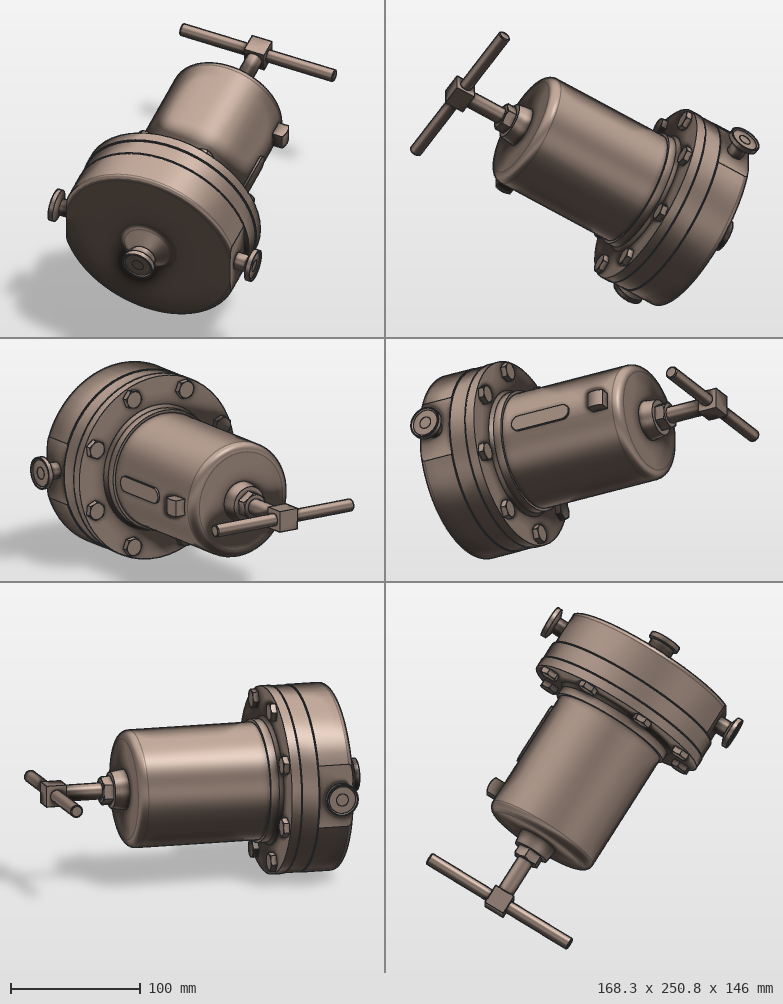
import cadquery as cq
import math


length = 250.8
cover_front = 22.0
cover_back = 49.7
diaphragm_ring_back = 63.7
flange_back = 72.2
collar_front = 75.2
collar_back = 81.8
bonnet_back = 186.0
boss_back = 197.1
nut_back = 205.2

cover_radius = 72.7
ring_radius = 72.5
seam_radius = 72.0
seam_width = 0.8
cover_flat_width = 137.0
cover_fillet = 3.5
flange_radius = 73.0

collar_radius = 48.0
collar_foot_radius = 50.2
bonnet_radius = 45.6
bonnet_fillet = 6.5
boss_base_radius = 15.8
boss_top_radius = 14.0

bolt_count = 8
bolt_circle_radius = 64.2
bolt_corner_radius = 7.5
bolt_head_height = 4.8
hex_chamfer_angle = math.radians(30)

nut_flat_width = 19.0
nut_turn = 5
screw_radius = 6.3
block_size = 16.5
block_depth = 15.8
bar_length = 128.0
bar_radius = 4.8
bar_chamfer = 0.8

dish_lip_radius = 11.8
dish_floor_radius = 10.5
dish_depth = 0.8
bore_radius = 4.8
bore_depth = 0.13

outlet_rim_radius = 12.5
outlet_rim_back = 4.0
outlet_neck_front = 4.8
outlet_neck_radius = 10.0
outlet_neck_back = 11.3
outlet_foot_radius = 23.3
outlet_foot_fillet = 5.8
outlet_cone_angle = math.radians(45)

port_span = 168.3
port_y = 34.9
port_rim_radius = 12.5
port_rim_depth = 3.8
port_neck_start = 6.3
port_neck_radius = 6.5
port_embed = 2.5

lug_y = 169.0
lug_width = 12.8
lug_reach = 55.0
lug_crown = 1.5
plate_front = 90.8
plate_back = 141.5
plate_width = 12.0
plate_stand_out = 1.5


def disc(radius, start, end):
    """Round disc about the main axis between two Y stations."""
    return cq.Workplane("XZ", origin=(0, start, 0)).circle(radius).extrude(start - end)


def cone(start_radius, end_radius, start, end):
    """Cone frustum about the main axis between two Y stations."""
    profile = [(0, start), (start_radius, start), (end_radius, end), (0, end)]
    return cq.Workplane("XY").polyline(profile).close().revolve(360, (0, 0), (0, 1))


def make_cover():
    """Cover with a rounded front edge and a flat on each side for the ports."""
    cover = disc(cover_radius, cover_front, cover_back)
    sides = cq.Workplane("XY").box(cover_flat_width, length * 2, length)
    return cover.faces("<Y").edges().fillet(cover_fillet).intersect(sides)


def make_flanges():
    """Diaphragm ring and bonnet flange, each with a narrow seam groove in front of it."""
    ring_front = cover_back + seam_width
    front_seam = disc(seam_radius, cover_back, ring_front)
    ring = disc(ring_radius, ring_front, diaphragm_ring_back)
    flange_front = diaphragm_ring_back + seam_width
    back_seam = disc(seam_radius, diaphragm_ring_back, flange_front)
    flange = disc(flange_radius, flange_front, flange_back)
    return front_seam.union(ring).union(back_seam).union(flange)


def make_bonnet():
    """Flared foot, collar, spring barrel and tapered boss."""
    foot = cone(collar_foot_radius, collar_radius, flange_back, collar_front)
    collar = disc(collar_radius, collar_front, collar_back)
    barrel = disc(bonnet_radius, collar_back, bonnet_back).faces(">Y").edges().fillet(bonnet_fillet)
    boss = cone(boss_base_radius, boss_top_radius, bonnet_back, boss_back)
    return foot.union(collar).union(barrel).union(boss)


def hexagon(corner_radius, height):
    """Hexagon along +Y with a corner on +X and the corners of its back face turned off."""
    flat_radius = corner_radius * math.cos(math.pi / 6)
    corner_drop = (corner_radius - flat_radius) * math.tan(hex_chamfer_angle)
    prism = cq.Workplane("XZ").polygon(6, 2 * corner_radius).extrude(-height)
    turned = disc(corner_radius, 0, height - corner_drop)
    return prism.intersect(turned.union(cone(corner_radius, flat_radius, height - corner_drop, height)))


def make_bolt_heads():
    """Ring of hexagon heads, each with a corner pointing away from the axis."""
    head = hexagon(bolt_corner_radius, bolt_head_height).translate((bolt_circle_radius, flange_back, 0))
    heads = cq.Workplane("XY")
    for index in range(bolt_count):
        angle = (index + 0.5) * 360 / bolt_count
        heads = heads.add(head.rotate((0, 0, 0), (0, 1, 0), angle))
    return heads.combine()


def make_handle():
    """Lock nut, adjusting screw, and the block with its cross bar."""
    nut_corner_radius = nut_flat_width / 2 / math.cos(math.pi / 6)
    nut = hexagon(nut_corner_radius, nut_back - boss_back)
    nut = nut.rotate((0, 0, 0), (0, 1, 0), 90 + nut_turn).translate((0, boss_back, 0))
    block_y = length - block_depth / 2
    screw = disc(screw_radius, nut_back, block_y)
    block = cq.Workplane("XY").box(block_size, block_depth, block_size).translate((0, block_y, 0))
    bar = cq.Workplane("YZ").circle(bar_radius).extrude(bar_length / 2, both=True)
    bar = bar.faces("<X or >X").chamfer(bar_chamfer).translate((0, block_y, 0))
    return nut.union(screw).union(block).union(bar)


def make_face_recess():
    """Cutter for the dish and spot recess of a connection whose face is at Y = 0."""
    dish = cone(dish_lip_radius, dish_floor_radius, 0, dish_depth)
    return dish.union(disc(bore_radius, 0, dish_depth + bore_depth))


def make_outlet():
    """Front outlet: flat rim, neck, and a cone blended into the cover face."""
    cone_end_radius = outlet_foot_radius - outlet_foot_fillet * math.sin(outlet_cone_angle)
    cone_end = cover_front - outlet_foot_fillet * (1 - math.cos(outlet_cone_angle))
    half_angle = outlet_cone_angle / 2
    arc_middle = (
        outlet_foot_radius - outlet_foot_fillet * math.sin(half_angle),
        cover_front - outlet_foot_fillet * (1 - math.cos(half_angle)),
    )
    profile = (
        cq.Workplane("XY")
        .lineTo(outlet_rim_radius, 0)
        .lineTo(outlet_rim_radius, outlet_rim_back)
        .lineTo(outlet_neck_radius, outlet_neck_front)
        .lineTo(outlet_neck_radius, outlet_neck_back)
        .lineTo(cone_end_radius, cone_end)
        .threePointArc(arc_middle, (outlet_foot_radius, cover_front))
        .lineTo(0, cover_front)
        .close()
    )
    outlet = profile.revolve(360, (0, 0), (0, 1))
    return outlet.cut(make_face_recess())


def make_port():
    """Port on the +X side, ending inside the cover."""
    outer_x = port_span / 2
    inner_x = cover_flat_width / 2 - port_embed
    profile = [
        (inner_x, 0),
        (inner_x, port_neck_radius),
        (outer_x - port_neck_start, port_neck_radius),
        (outer_x - port_rim_depth, port_rim_radius),
        (outer_x, port_rim_radius),
        (outer_x, 0),
    ]
    port = cq.Workplane("XY").polyline(profile).close().revolve(360, (0, 0), (1, 0))
    recess = make_face_recess().rotate((0, 0, 0), (0, 0, 1), 90).translate((outer_x, 0, 0))
    return port.cut(recess).translate((0, port_y, 0))


def make_lug():
    """Square lug with a crowned outer end."""
    half_width = lug_width / 2
    corner_x = lug_reach - lug_crown
    outline = (
        cq.Workplane("XY")
        .moveTo(bonnet_radius / 2, -half_width)
        .lineTo(corner_x, -half_width)
        .threePointArc((lug_reach, 0), (corner_x, half_width))
        .lineTo(bonnet_radius / 2, half_width)
        .close()
    )
    return outline.extrude(half_width, both=True).translate((0, lug_y, 0))


def make_name_plate():
    """Round-ended flat plate let into the side of the bonnet."""
    middle_y = (plate_front + plate_back) / 2
    plate = cq.Workplane("YZ", origin=(bonnet_radius / 2, middle_y, 0))
    plate = plate.slot2D(plate_back - plate_front, plate_width)
    return plate.extrude(bonnet_radius / 2 + plate_stand_out)


port = make_port()
features = [
    make_flanges(),
    make_bonnet(),
    make_bolt_heads(),
    make_handle(),
    make_outlet(),
    port,
    port.mirror("YZ"),
    make_lug(),
    make_name_plate(),
]

result = make_cover()
for feature in features:
    result = result.union(feature)